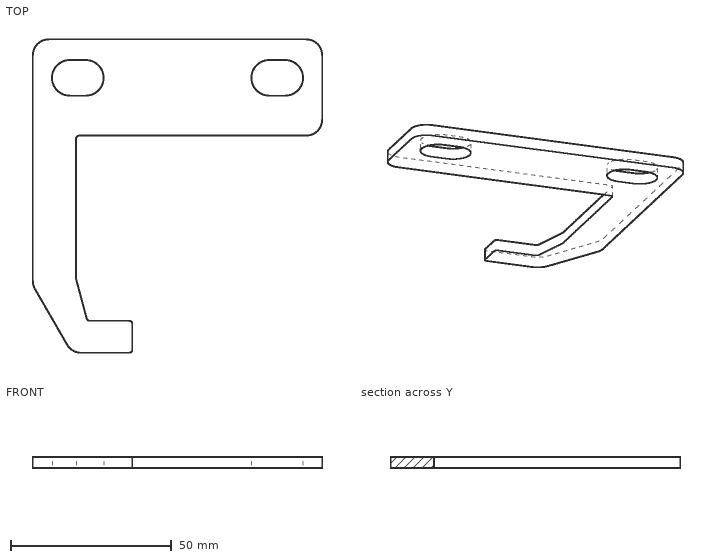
import cadquery as cq
import math

width = 90.0
length = 97.5
thickness = 3.5

flange_depth = 30.0
arm_width = 13.5
flange_inner_y = length - flange_depth

hook_reach = 31.0
hook_depth = 10.0
outer_knee_y = 21.0
outer_bevel_angle = 60.0
inner_knee_y = 23.0
inner_bevel_angle = 15.0
heel_x = outer_knee_y / math.tan(math.radians(outer_bevel_angle))
throat_x = arm_width + (inner_knee_y - hook_depth) * math.tan(math.radians(inner_bevel_angle))

outer_radius = 5.0
small_radius = 1.0

slot_length = 16.0
slot_width = 11.0
slot_edge_x = 14.0
slot_edge_y = 12.0

outer_corners = [
    (0, length),
    (width, length),
    (width, flange_inner_y),
    (0, outer_knee_y),
    (heel_x, 0),
]
small_corners = [
    (arm_width, flange_inner_y),
    (hook_reach, hook_depth),
    (hook_reach, 0),
    (throat_x, hook_depth),
]


def make_blank():
    """Flat hook plate with sharp corners."""
    outline = [
        (0, length),
        (width, length),
        (width, flange_inner_y),
        (arm_width, flange_inner_y),
        (arm_width, inner_knee_y),
        (throat_x, hook_depth),
        (hook_reach, hook_depth),
        (hook_reach, 0),
        (heel_x, 0),
        (0, outer_knee_y),
    ]
    return cq.Workplane("XY").polyline(outline).close().extrude(thickness)


def round_corners(plate, corners, radius):
    """Fillet the upright edges standing on the given corners."""
    mid_height = thickness / 2
    for x, y in corners:
        corner_edge = cq.selectors.NearestToPointSelector((x, y, mid_height))
        plate = plate.edges("|Z").edges(corner_edge).fillet(radius)
    return plate


def cut_slots(plate):
    """Cut the two mounting slots through the flange."""
    slot_y = length - slot_edge_y
    centres = [(slot_edge_x, slot_y), (width - slot_edge_x, slot_y)]
    slots = (
        cq.Workplane("XY")
        .pushPoints(centres)
        .slot2D(slot_length, slot_width)
        .extrude(thickness)
    )
    return plate.cut(slots)


plate = make_blank()
plate = round_corners(plate, outer_corners, outer_radius)
plate = round_corners(plate, small_corners, small_radius)
result = cut_slots(plate)